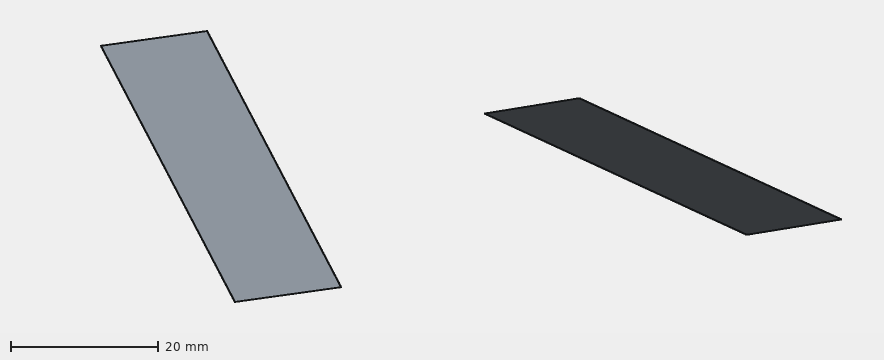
import cadquery as cq

length = 70.0
width = 14.98
thickness = 0.03

result = cq.Workplane("XY").box(length, width, thickness, centered=(True, True, False))